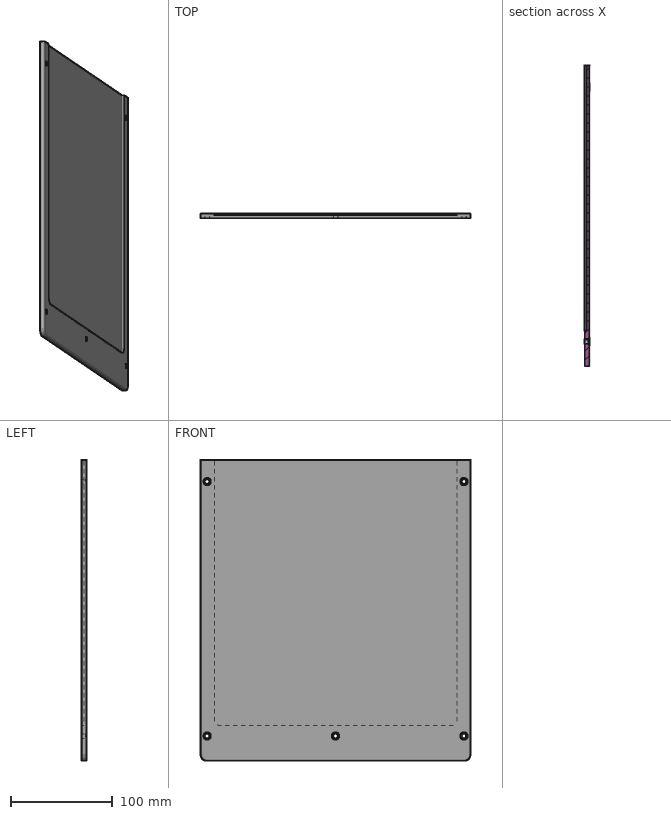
import cadquery as cq

width = 265.2
thickness = 5.0
height = 295.5
corner_radius = 6.2
edge_rounding = 1.0

recess_side_margin = 13.5
recess_floor_rounding = edge_rounding
recess_bottom_margin = 35.0
recess_depth = 2.0
recess_corner_radius = 6.0

hole_diameter = 4.5
countersink_diameter = 7.5
countersink_angle = 90
hole_side_inset = 6.5
lower_hole_height = 24.5
upper_hole_height = 274.5

front_y = -thickness / 2
back_y = thickness / 2
hole_x = width / 2 - hole_side_inset
hole_positions = [(x, z) for x in (-hole_x, hole_x) for z in (lower_hole_height, upper_hole_height)]
hole_positions.append((0, lower_hole_height))


def make_panel():
    """Plate with rounded lower corners, rounded over on every edge but the top one."""
    panel = (
        cq.Workplane("XY")
        .box(width, thickness, height, centered=(True, True, False))
        .edges("|Y and <Z")
        .fillet(corner_radius)
    )
    return panel.faces("<Y or >Y").edges("not >Z").fillet(edge_rounding)


def make_recess():
    """Cutter with a rounded floor edge, running out past the top edge of the panel."""
    mouth_width = width - 2 * recess_side_margin
    mouth_height = 2 * (height - recess_bottom_margin)
    return (
        cq.Workplane("XZ", origin=(0, back_y, recess_bottom_margin + mouth_height / 2))
        .rect(mouth_width, mouth_height)
        .extrude(recess_depth)
        .edges("|Y")
        .fillet(recess_corner_radius)
        .faces("<Y")
        .fillet(recess_floor_rounding)
    )


def drill_screw_holes(panel):
    return (
        panel.copyWorkplane(cq.Workplane("XZ", origin=(0, front_y, 0)))
        .pushPoints(hole_positions)
        .cskHole(hole_diameter, countersink_diameter, countersink_angle)
    )


result = drill_screw_holes(make_panel().cut(make_recess()))